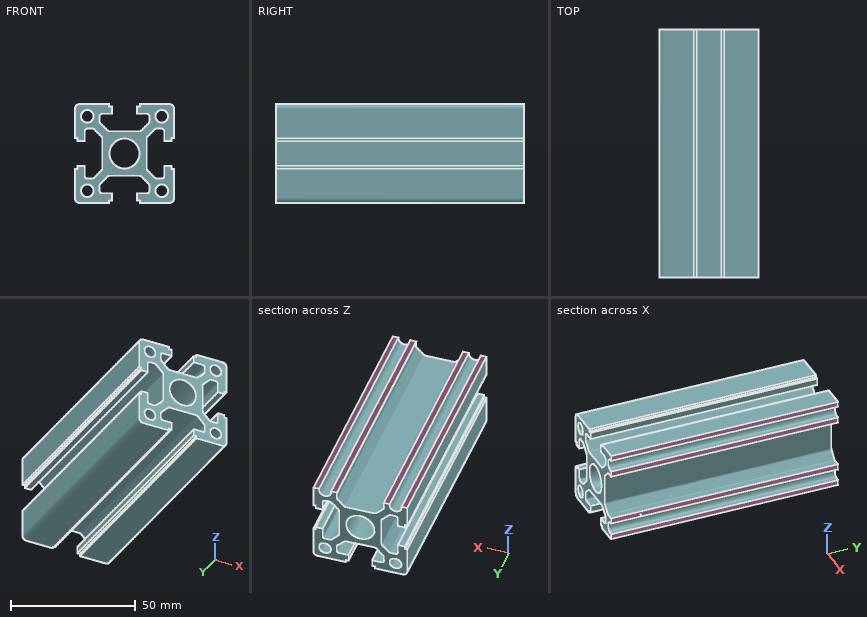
import cadquery as cq

width = 40.0
length = 100.0
corner_radius = 2.0

slot_opening = 10.0
recess_width = 12.4
recess_depth = 1.0
lip_thickness = 4.0
cavity_width = 20.0
slot_depth = 11.0
web_offset = 2.5
cavity_radius = 1.0

center_bore_diameter = 12.0
corner_bore_diameter = 5.0
corner_bore_spacing = 30.0

half_width = width / 2


def profile_plane():
    """XZ workplane on the +Y end, with its normal toward -Y."""
    return cq.Workplane("XZ", origin=(0, length / 2, 0))


def make_bar():
    bar = profile_plane().rect(width, width).extrude(length)
    return bar.edges("|Y").fillet(corner_radius)


def make_slot():
    """Solid filling the T-slot on the +Z side."""
    lip_underside = half_width - lip_thickness
    floor = half_width - slot_depth
    half_cavity = cavity_width / 2
    half_floor = floor - web_offset
    cavity = (
        profile_plane()
        .moveTo(-half_cavity, lip_underside)
        .lineTo(half_cavity, lip_underside)
        .lineTo(half_cavity, half_cavity + web_offset)
        .lineTo(half_floor, floor)
        .lineTo(-half_floor, floor)
        .lineTo(-half_cavity, half_cavity + web_offset)
        .close()
        .extrude(length)
        .edges("|Y")
        .fillet(cavity_radius)
    )
    opening_height = half_width - floor
    opening = (
        profile_plane()
        .center(0, floor + opening_height / 2)
        .rect(slot_opening, opening_height)
        .extrude(length)
    )
    recess = (
        profile_plane()
        .center(0, half_width - recess_depth / 2)
        .rect(recess_width, recess_depth)
        .extrude(length)
    )
    return cavity.union(opening).union(recess)


def make_bores():
    center_bore = profile_plane().circle(center_bore_diameter / 2).extrude(length)
    corner_bores = (
        profile_plane()
        .rect(corner_bore_spacing, corner_bore_spacing, forConstruction=True)
        .vertices()
        .circle(corner_bore_diameter / 2)
        .extrude(length)
    )
    return center_bore.union(corner_bores)


result = make_bar().cut(make_bores())
slot = make_slot()
for angle in (0, 90, 180, 270):
    result = result.cut(slot.rotate((0, 0, 0), (0, 1, 0), angle))